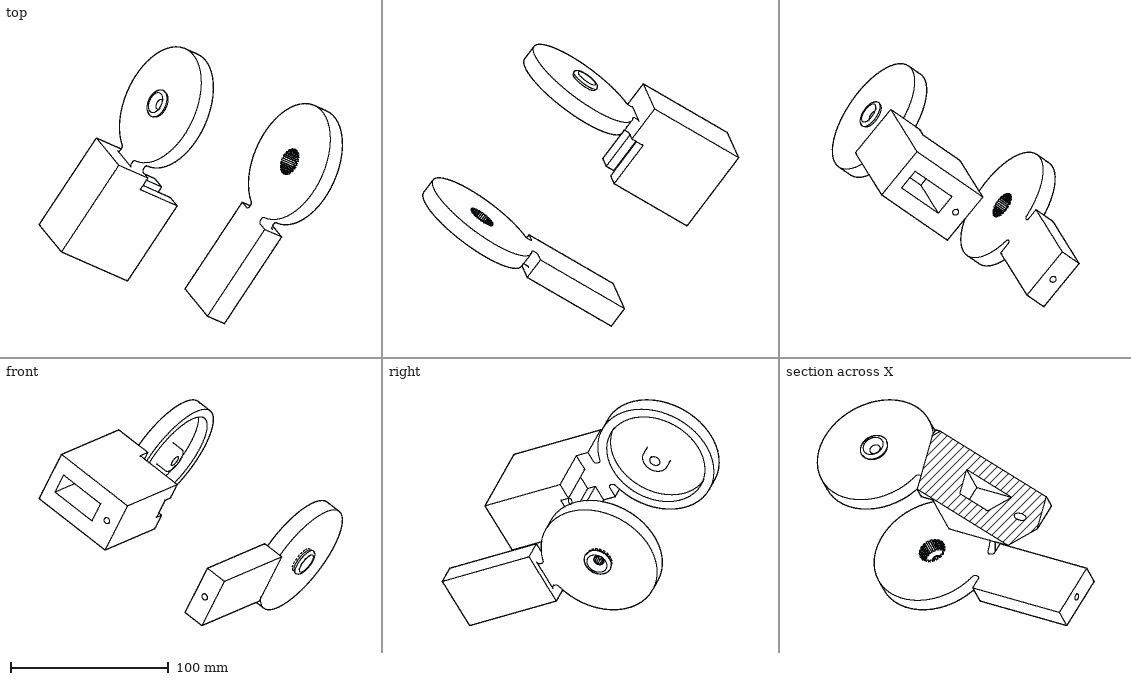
import cadquery as cq
import math


TILT_X = 126.66
TILT_Y = -13.295
TILT_Z = 56.54
HOUSING_DISC_AXIS_POINT = (-29.67, 55.50, 48.04)
LINK_SPACING = 124.28

DISC_RADIUS = 39.0
DISC_THICKNESS = 10.4
ARM_WIDTH = 36.0
ARM_LENGTH = 67.8
ARM_FRONT = -42.4
ARM_REAR = ARM_FRONT - ARM_LENGTH
NECK_WIDTH = 17.7
NECK_FILLET = 1.9
SCREW_HOLE_RADIUS = 2.0

HUB_RADIUS = 8.5
HUB_FILLET = 1.0
BORE_RADIUS = 3.4
BOSS_HEIGHT = 4.1
BEAD_RADIUS = 9.1
BEAD_HEIGHT = 2.5
LIP_RADIUS = 7.4
LIP_BULGE_POINT = (BEAD_RADIUS - 0.4, BOSS_HEIGHT - 0.6)
CONE_MOUTH_RADIUS = 6.7
CONE_DEPTH = 3.5

SLIM_THICKNESS = 14.5
SLIM_BOSS_TOP = DISC_THICKNESS + BOSS_HEIGHT
SPLINE_TEETH = 20
SPLINE_TIP_RADIUS = 7.7
SPLINE_ROOT_RADIUS = 8.6
SPLINE_DEPTH = 10.2

HOUSING_THICKNESS = 56.3
HOUSING_DISC_BASE = 14.4
HOUSING_DISC_TOP = HOUSING_DISC_BASE + DISC_THICKNESS
HOUSING_STEP = 9.0
HOUSING_SCREW_OFFSET = 8.1
POCKET_BOTTOM = 7.75
POCKET_TOP = 39.2
POCKET_WIDTH = 13.8
POCKET_DEPTH = 45.0
CHANNEL_DEPTH = 6.0
CAVITY_RADIUS = 33.0
CAVITY_FLOOR = HOUSING_DISC_TOP - 7.4
STEM_TOP = HOUSING_DISC_TOP + 2.0



def bar(x0, x1, width, z0, z1):
    """Block from x0 to x1 and z0 to z1, centred on the arm's midplane."""
    block = cq.Workplane("XY").box(x1 - x0, width, z1 - z0, centered=False)
    return block.translate((x0, -width / 2, z0))


def disc(radius, z0, z1):
    return cq.Workplane("XY").workplane(offset=z0).circle(radius).extrude(z1 - z0)


def turned(profile):
    """Solid of revolution about Z from a closed profile in the XZ plane."""
    return profile.close().revolve(360, (0, 0), (0, 1))



def arm(thickness):
    return bar(ARM_REAR, ARM_FRONT, ARM_WIDTH, 0, thickness)


def disc_with_neck(z0):
    """Disc joined by a filleted neck to a thin slice that sinks into the arm."""
    z1 = z0 + DISC_THICKNESS
    slice_length = 5.0
    body = disc(DISC_RADIUS, z0, z1)
    body = body.union(bar(ARM_FRONT, 0, NECK_WIDTH, z0, z1))
    body = body.union(bar(ARM_FRONT - slice_length, ARM_FRONT, ARM_WIDTH, z0, z1))
    margin = 1.0
    side = NECK_WIDTH / 2 + margin
    neck_meets_disc_x = -math.sqrt(DISC_RADIUS**2 - (NECK_WIDTH / 2) ** 2)
    neck_corners = cq.selectors.BoxSelector(
        (ARM_FRONT - margin, -side, z0 - margin),
        (neck_meets_disc_x + margin, side, z1 + margin),
    )
    return body.edges("|Z").edges(neck_corners).fillet(NECK_FILLET)


def screw_hole(z):
    start = cq.Workplane("YZ").workplane(offset=ARM_REAR)
    return start.center(0, z).circle(SCREW_HOLE_RADIUS).extrude(ARM_LENGTH)


def hub_foot():
    """Start of a hub profile: floor and concave fillet up to the hub wall."""
    inset = HUB_FILLET * (1 - math.sqrt(0.5))
    profile = cq.Workplane("XZ").lineTo(HUB_RADIUS + HUB_FILLET, 0)
    return profile.threePointArc((HUB_RADIUS + inset, inset), (HUB_RADIUS, HUB_FILLET))


def snap_boss():
    """Boss standing on z = 0 with a swelling bead below a rounded lip."""
    profile = hub_foot().lineTo(BEAD_RADIUS, BEAD_HEIGHT)
    profile = profile.threePointArc(LIP_BULGE_POINT, (LIP_RADIUS, BOSS_HEIGHT))
    return turned(profile.lineTo(0, BOSS_HEIGHT))


def countersink():
    """Cone with its mouth at z = 0, narrowing downwards to the bore."""
    profile = cq.Workplane("XZ").lineTo(CONE_MOUTH_RADIUS, 0).lineTo(BORE_RADIUS, -CONE_DEPTH)
    return turned(profile.lineTo(0, -CONE_DEPTH))



def stem():
    """Round post on the cavity floor, filleted at its foot and its end."""
    height = STEM_TOP - CAVITY_FLOOR
    inset = HUB_FILLET * (1 - math.sqrt(0.5))
    profile = hub_foot().lineTo(HUB_RADIUS, height - HUB_FILLET)
    profile = profile.threePointArc((HUB_RADIUS - inset, height - inset), (HUB_RADIUS - HUB_FILLET, height))
    return turned(profile.lineTo(0, height)).translate((0, 0, CAVITY_FLOOR))


def build_housing():
    step_x = ARM_FRONT - HOUSING_STEP
    body = arm(HOUSING_THICKNESS)
    body = body.cut(bar(step_x, ARM_FRONT, ARM_WIDTH, HOUSING_DISC_TOP, HOUSING_THICKNESS))
    body = body.union(disc_with_neck(HOUSING_DISC_BASE))

    body = body.cut(bar(step_x - CHANNEL_DEPTH, step_x, POCKET_WIDTH, HOUSING_DISC_TOP, HOUSING_THICKNESS))
    body = body.cut(bar(ARM_REAR, ARM_REAR + POCKET_DEPTH, POCKET_WIDTH, POCKET_BOTTOM, POCKET_TOP))
    body = body.cut(screw_hole(HOUSING_THICKNESS - HOUSING_SCREW_OFFSET))

    body = body.cut(disc(CAVITY_RADIUS, CAVITY_FLOOR, HOUSING_DISC_TOP))
    body = body.union(stem())
    body = body.union(snap_boss().mirror("XY").translate((0, 0, HOUSING_DISC_BASE)))
    mouth = HOUSING_DISC_BASE - BOSS_HEIGHT
    body = body.cut(disc(BORE_RADIUS, mouth, STEM_TOP))
    return body.cut(countersink().mirror("XY").translate((0, 0, mouth)))



def cut_spline_socket(body):
    body = body.cut(disc(SPLINE_TIP_RADIUS, 0, SPLINE_DEPTH))
    groove_width = math.pi * SPLINE_TIP_RADIUS / SPLINE_TEETH
    groove = bar(BORE_RADIUS, SPLINE_ROOT_RADIUS, groove_width, 0, SPLINE_DEPTH)
    for tooth in range(SPLINE_TEETH):
        body = body.cut(groove.rotate((0, 0, 0), (0, 0, 1), tooth * 360 / SPLINE_TEETH))
    return body


def build_slim():
    body = arm(SLIM_THICKNESS).union(disc_with_neck(0))
    body = body.cut(screw_hole(SLIM_THICKNESS / 2))
    body = body.union(snap_boss().translate((0, 0, DISC_THICKNESS)))
    body = cut_spline_socket(body)
    body = body.cut(disc(BORE_RADIUS, 0, SLIM_BOSS_TOP))
    return body.cut(countersink().translate((0, 0, SLIM_BOSS_TOP)))



def place(body):
    origin = (0, 0, 0)
    body = body.rotate(origin, (1, 0, 0), TILT_X)
    body = body.rotate(origin, (0, 1, 0), TILT_Y)
    body = body.rotate(origin, (0, 0, 1), TILT_Z)
    return body.translate(HOUSING_DISC_AXIS_POINT)


housing = place(build_housing())
slim_link = place(build_slim().translate((0, 0, LINK_SPACING)))

result = cq.Compound.makeCompound([housing.solids().val(), slim_link.solids().val()])